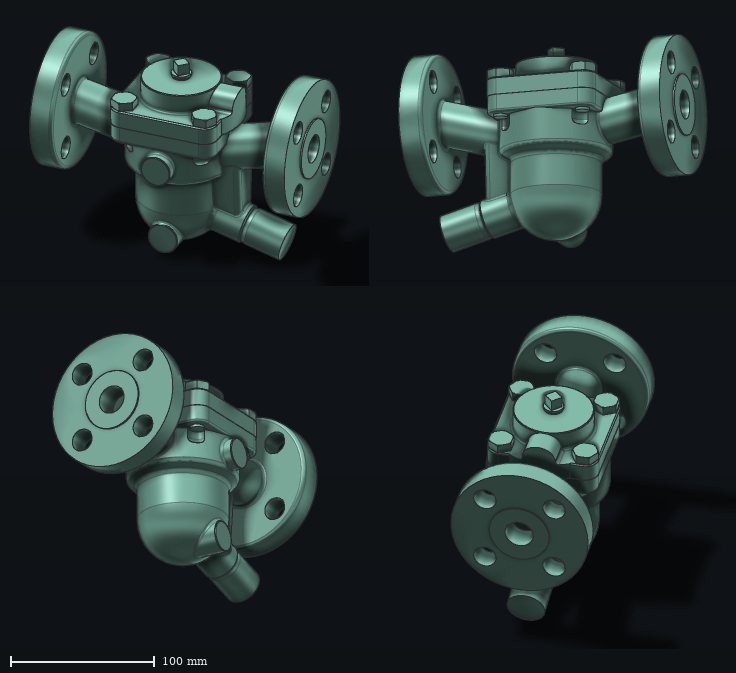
import cadquery as cq
import math


overall_length = 195.0
inlet_face_x = -95.0
outlet_face_x = inlet_face_x + overall_length
flange_diameter = 98.0
flange_thickness = 17.0
flange_edge_fillet = 2.5
raised_face_diameter = 42.9
raised_face_height = 1.2
bore_diameter = 20.0
bolt_hole_diameter = 16.0
bolt_hole_spacing = 49.5

pipe_diameter = 32.0
inlet_pipe_angle = 11.0
outlet_pipe_angle = 15.0
pipe_weld_fillet = 2.3
pipe_body_fillet = 2.0

upper_body_radius = 39.4
bowl_radius = 32.0
bowl_center_z = -57.0
shoulder_top_z = -27.9
shoulder_bottom_z = -33.0
shoulder_fillet = 3.9

joint_z = 8.5
cover_top_z = 21.3
body_flange_bottom_z = -4.0
cover_side = 79.5
body_flange_side = 79.2
square_corner_radius = 9.8
cover_top_chamfer = 1.0
body_flange_fillet = 2.1
bulge_radius = 45.2
bulge_width = 43.7

cap_diameter = 56.5
cap_top_z = 35.9
cap_top_chamfer = 0.5
cap_foot_fillet = 2.0
side_boss_width = 23.8
side_boss_drop = 0.5
side_boss_fillet = 2.5
stem_neck_diameter = 12.5
stem_collar_diameter = 14.5
stem_collar_bottom_z = 37.6
stem_collar_top_z = 39.2
stem_top_z = 47.2
stem_square_side = 8.5

cover_bolt_spacing = 60.5
bolt_head_width = 16.4
bolt_head_height = 6.2
bolt_head_chamfer = 0.8
shank_diameter = 10.0
shank_end_z = -6.0
bolt_pocket_diameter = 14.5
bolt_pocket_floor_z = -14.6
bolt_pocket_fillet = 3.9

plug_diameter = 22.0
plug_edge_chamfer = 0.5
plug_root_fillet = 2.0
upper_plug_z = -16.8
upper_plug_end_y = -46.0
lower_plug_z = -76.2
lower_plug_end_y = -33.2

drain_diameter = 27.0
drain_angle = 15.0
drain_length = 82.9
drain_root_diameter = 28.0
drain_root_length = 51.7
drain_groove_depth = 0.5
drain_groove_floor_width = 0.8
drain_groove_run_out = 2.5
drain_root_fillet = 4.3

rib_end_x = 49.1
rib_bottom_thickness = 20.3
rib_top_thickness = 29.6
rib_edge_fillet = 4.3
rib_root_fillet = 2.3

seam_tolerance = 0.002


def cylinder_z(diameter, bottom_z, top_z):
    return cq.Workplane("XY").workplane(offset=bottom_z).circle(diameter / 2).extrude(top_z - bottom_z)


def cylinder_along(start, direction, diameter, length):
    return cq.Workplane(cq.Solid.makeCylinder(diameter / 2, length, cq.Vector(*start), cq.Vector(*direction)))


def rounded_square(side, bottom_z, top_z):
    height = top_z - bottom_z
    plate = cq.Workplane("XY").workplane(offset=bottom_z).rect(side, side).extrude(height)
    return plate.edges("|Z").fillet(square_corner_radius)


def join_with_fillet(base, part, radius):
    """Fuse two solids and round the seam where their surfaces meet."""
    joined = base.union(part)
    shells = base.shells().vals() + part.shells().vals()

    def on_seam(edge):
        middle = cq.Vertex.makeVertex(*edge.positionAt(0.5).toTuple())
        return all(shell.distance(middle) < seam_tolerance for shell in shells)

    seam = [edge for edge in joined.edges().vals() if on_seam(edge)]
    return joined.newObject(seam).fillet(radius)


def slope_direction(side, angle):
    """Unit vector along X (side is +1 or -1) that drops by the given angle."""
    return (side * math.cos(math.radians(angle)), 0, -math.sin(math.radians(angle)))


def square_points(spacing):
    half = spacing / 2
    return [(x, y) for x in (-half, half) for y in (-half, half)]


def line_end(face_x, inward, pipe_angle):
    """One flange with its inclined pipe; inward is the X sign toward the body."""
    back_x = face_x + inward * (raised_face_height + flange_thickness)
    rim_x = face_x + inward * raised_face_height
    axis = (inward, 0, 0)
    flange = cylinder_along((rim_x, 0, 0), axis, flange_diameter, flange_thickness)
    flange = flange.faces(">X" if inward > 0 else "<X").edges().fillet(flange_edge_fillet)

    direction = slope_direction(inward, pipe_angle)
    start_x = back_x - inward * flange_thickness / 2
    start_z = flange_thickness / 2 * math.tan(math.radians(pipe_angle))
    length = abs(start_x) / math.cos(math.radians(pipe_angle))
    pipe = cylinder_along((start_x, 0, start_z), direction, pipe_diameter, length)

    end = flange.union(pipe)
    root = cq.selectors.BoxSelector(
        (back_x - 3.9, -pipe_diameter, -pipe_diameter), (back_x + 3.9, pipe_diameter, pipe_diameter)
    )
    end = end.edges(root).edges("not %CIRCLE").fillet(pipe_weld_fillet)
    return end.union(cylinder_along((face_x, 0, 0), axis, raised_face_diameter, raised_face_height))


def flange_holes(face_x, inward):
    """Blind central bore and four bolt holes of one flange."""
    depth = raised_face_height + flange_thickness
    axis = (inward, 0, 0)
    holes = cylinder_along((face_x, 0, 0), axis, bore_diameter, depth)
    for y, z in square_points(bolt_hole_spacing):
        holes = holes.add(cylinder_along((face_x, y, z), axis, bolt_hole_diameter, depth))
    return holes.combine()


def make_body():
    bowl_bottom_z = bowl_center_z - bowl_radius
    arc_offset = bowl_radius * math.sqrt(0.5)
    body = (
        cq.Workplane("XZ")
        .moveTo(0, joint_z)
        .lineTo(upper_body_radius, joint_z)
        .lineTo(upper_body_radius, shoulder_top_z)
        .lineTo(bowl_radius, shoulder_bottom_z)
        .lineTo(bowl_radius, bowl_center_z)
        .threePointArc((arc_offset, bowl_center_z - arc_offset), (0, bowl_bottom_z))
        .close()
        .revolve(360, (0, 0, 0), (0, 1, 0))
    )
    shoulder = cq.selectors.BoxSelector(
        (-bulge_radius, -bulge_radius, shoulder_bottom_z - 2),
        (bulge_radius, bulge_radius, shoulder_top_z + 2),
        boundingbox=True,
    )
    return body.edges(shoulder).edges("%CIRCLE").fillet(shoulder_fillet)


def make_rib():
    """Upright rib from the drain axis up to the outlet pipe axis, thicker toward the top."""
    drain_slope = math.tan(math.radians(drain_angle))
    pipe_slope = math.tan(math.radians(outlet_pipe_angle))
    pipe_start_x = outlet_face_x - raised_face_height - flange_thickness
    bottom_z = bowl_center_z - rib_end_x * drain_slope
    side_outline = (
        cq.Workplane("XZ")
        .moveTo(0, bowl_center_z)
        .lineTo(rib_end_x, bottom_z)
        .lineTo(rib_end_x, (rib_end_x - pipe_start_x) * pipe_slope)
        .lineTo(0, -pipe_start_x * pipe_slope)
        .close()
        .extrude(rib_top_thickness, both=True)
    )
    wedge = (
        cq.Workplane("YZ")
        .moveTo(-rib_bottom_thickness / 2, bottom_z)
        .lineTo(rib_bottom_thickness / 2, bottom_z)
        .lineTo(rib_top_thickness / 2, 0)
        .lineTo(-rib_top_thickness / 2, 0)
        .close()
        .extrude(rib_end_x)
    )
    rib = wedge.intersect(side_outline)
    return rib.faces(">X").edges("not |Y").fillet(rib_edge_fillet)


def make_drain():
    """Drain pipe with a shallow groove between its cast root and its machined end."""
    root_radius = drain_root_diameter / 2
    end_radius = drain_diameter / 2
    floor_radius = end_radius - drain_groove_depth
    groove_floor_start = drain_root_length + root_radius - floor_radius
    groove_floor_end = groove_floor_start + drain_groove_floor_width
    drain = (
        cq.Workplane("XY")
        .lineTo(0, root_radius)
        .lineTo(drain_root_length, root_radius)
        .lineTo(groove_floor_start, floor_radius)
        .lineTo(groove_floor_end, floor_radius)
        .lineTo(groove_floor_end + drain_groove_run_out, end_radius)
        .lineTo(drain_length, end_radius)
        .lineTo(drain_length, 0)
        .close()
        .revolve(360, (0, 0, 0), (1, 0, 0))
    )
    return drain.rotate((0, 0, 0), (0, 1, 0), drain_angle).translate((0, 0, bowl_center_z))


def make_plug(z, end_y):
    plug = cylinder_along((0, 0, z), (0, -1, 0), plug_diameter, -end_y)
    return plug.faces("<Y").chamfer(plug_edge_chamfer)


def make_cover():
    """Square plate with a round cap and a half-round boss, both bounded by a bulge on the +X side."""
    square = rounded_square(cover_side, joint_z, cover_top_z).faces(">Z").edges().chamfer(cover_top_chamfer)
    bulge = cylinder_z(2 * bulge_radius, joint_z, cap_top_z).intersect(
        cq.Workplane("XY").box(bulge_radius, bulge_width, 2 * cap_top_z, centered=(False, True, True))
    )
    outline = rounded_square(cover_side, joint_z, cap_top_z).union(bulge)

    oversize = 2 * bulge_radius
    bulge_block = cq.Workplane("XY").box(oversize, bulge_width, cover_top_z - joint_z, centered=(False, True, False))
    plate = square.union(bulge_block.translate((0, 0, joint_z)))

    cap = cylinder_z(cap_diameter, joint_z, cap_top_z).faces(">Z").chamfer(cap_top_chamfer)
    boss_radius = side_boss_width / 2
    boss_center_z = cap_top_z - side_boss_drop - boss_radius
    foot_half_width = boss_radius + side_boss_fillet
    foot_radius_offset = side_boss_fillet * (1 - math.sqrt(0.5))
    foot_y = boss_radius + foot_radius_offset
    foot_z = cover_top_z + foot_radius_offset
    foot_top_z = cover_top_z + side_boss_fillet
    boss = (
        cq.Workplane("YZ")
        .moveTo(-foot_half_width, cover_top_z)
        .threePointArc((-foot_y, foot_z), (-boss_radius, foot_top_z))
        .lineTo(-boss_radius, boss_center_z)
        .threePointArc((0, boss_center_z + boss_radius), (boss_radius, boss_center_z))
        .lineTo(boss_radius, foot_top_z)
        .threePointArc((foot_y, foot_z), (foot_half_width, cover_top_z))
        .close()
        .extrude(oversize)
    )
    return join_with_fillet(plate, cap, cap_foot_fillet).union(boss).intersect(outline)


def make_stem():
    stem = cylinder_z(stem_neck_diameter, joint_z, stem_collar_top_z)
    stem = stem.union(cylinder_z(stem_collar_diameter, stem_collar_bottom_z, stem_collar_top_z))
    square = (
        cq.Workplane("XY")
        .workplane(offset=joint_z)
        .rect(stem_square_side, stem_square_side)
        .extrude(stem_top_z - joint_z)
        .rotate((0, 0, 0), (0, 0, 1), 45)
    )
    return stem.union(square)


def make_bolt(x, y):
    head_diameter = bolt_head_width / math.cos(math.radians(30))
    head = cq.Workplane("XY").polygon(6, head_diameter).extrude(bolt_head_height)
    rounding = cq.Workplane("XY").circle(head_diameter / 2).extrude(bolt_head_height)
    head = head.intersect(rounding.faces(">Z").chamfer(bolt_head_chamfer))
    if x * y > 0:
        head = head.rotate((0, 0, 0), (0, 0, 1), 30)
    shank = cylinder_z(shank_diameter, shank_end_z, cover_top_z)
    return head.translate((0, 0, cover_top_z)).union(shank).translate((x, y, 0))


result = make_body()
result = join_with_fillet(result, line_end(inlet_face_x, 1, inlet_pipe_angle), pipe_body_fillet)
result = join_with_fillet(result, make_drain(), drain_root_fillet)
result = join_with_fillet(result, make_plug(upper_plug_z, upper_plug_end_y), plug_root_fillet)
result = join_with_fillet(result, make_plug(lower_plug_z, lower_plug_end_y), plug_root_fillet)
result = join_with_fillet(result, make_rib(), rib_root_fillet)
result = join_with_fillet(result, line_end(outlet_face_x, -1, outlet_pipe_angle), pipe_body_fillet)

bolt_pockets = (
    cq.Workplane("XY")
    .workplane(offset=bolt_pocket_floor_z)
    .pushPoints(square_points(cover_bolt_spacing))
    .circle(bolt_pocket_diameter / 2)
    .extrude(joint_z - bolt_pocket_floor_z)
    .faces("<Z")
    .edges()
    .fillet(bolt_pocket_fillet)
)
result = result.cut(bolt_pockets)

body_flange = rounded_square(body_flange_side, body_flange_bottom_z, joint_z)
result = result.union(body_flange.faces("<Z").edges().fillet(body_flange_fillet))
result = result.union(make_cover()).union(make_stem())
for bolt_x, bolt_y in square_points(cover_bolt_spacing):
    result = result.union(make_bolt(bolt_x, bolt_y))

result = result.cut(flange_holes(inlet_face_x, 1)).cut(flange_holes(outlet_face_x, -1))